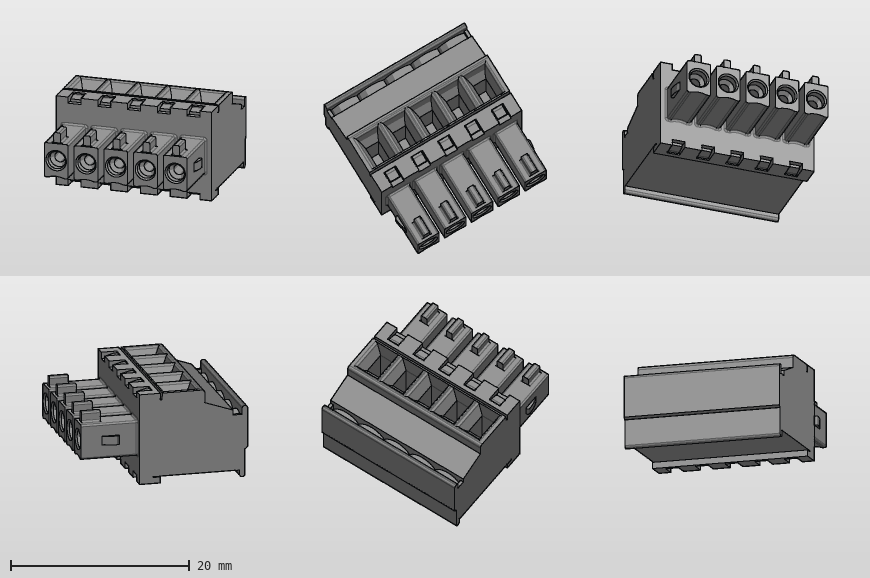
import cadquery as cq
import math

WIDTH = 18.3
LENGTH = 19.1
HEIGHT = 10.5
POLES = 5
PITCH = 3.5
POLE_XS = [(i - (POLES - 1) / 2) * PITCH for i in range(POLES)]

FRONT_Y = 6.6
LIP_THICKNESS = 0.64
LIP_TOP_Z = 8.3
LIP_ROUND = 0.27
LIP_INNER_Y = LENGTH - LIP_THICKNESS
BACK_STEP = 0.32
BACK_STEP_Z = 3.27
BACK_STEP_CHAMFER = 0.25
REAR_FOOT_OUTER_Y = LENGTH - BACK_STEP
REAR_FOOT_INNER_Y = REAR_FOOT_OUTER_Y - LIP_THICKNESS
UNDERSIDE_Z = 0.8
GROOVE_FLOOR_Z = 7.3
GROOVE_FRONT_Y = 17.42
SLOPE_LOW_Z = 7.87
SLOPE_HIGH_Z = 9.0
TOWER_BACK_Y = 14.15
TOWER_ROUND = 0.35
SLIT_FRONT_Y = 8.98
SLIT_WIDTH_TOP = 0.27
SLIT_WIDTH_BOTTOM = 0.16
SLIT_DEPTH = 0.8
FOOT_BACK_Y = SLIT_FRONT_Y
UNDERCUT_DEPTH = 0.8
UNDERCUT_HEIGHT = 0.09

BARREL_RADIUS = 2.15
BARREL_AXIS_Z = GROOVE_FLOOR_Z - BARREL_RADIUS

FUNNEL_HALF_WIDTH = 1.68
FUNNEL_FRONT_Y = 9.45
FUNNEL_BACK_Y = 13.62
THROAT_HALF_WIDTH = 0.835
THROAT_FRONT_Y = 9.64
THROAT_BACK_Y = 12.2
THROAT_Z = 8.65
WELL_FLOOR_Z = 3.0
RIM_ROUND = 0.3
BACK_WALL_HOLLOW = 0.12

POCKET_WIDTH = 1.5
POCKET_LENGTH = 1.8
POCKET_DEPTH = 0.73
RAMP_WIDTH = 1.26
RAMP_FRONT_Y = 7.2
RAMP_BACK_Y = 8.07
RAMP_LOW_DEPTH = 0.4
RAMP_HIGH_DEPTH = 0.16

PLUG_WIDTH = 2.8
PLUG_BOTTOM_Z = 3.18
PLUG_TOP_Z = 7.24
PLUG_ROUND = 0.2
ROOT_ROUND = 0.22
ROOT_BLOCK_LENGTH = 0.5
ARCH_WIDTH = 1.9
ARCH_RISE = 0.18
SOCKET_Z = 5.23
SOCKET_MOUTH_RADIUS = 1.2
SOCKET_RADIUS = 1.02
PIN_HOLE_RADIUS = 0.6
MOUTH_DEPTH = 0.2
SOCKET_DEPTH = 0.95
PIN_HOLE_DEPTH = 5.0

KEY_WIDTH = 0.8
KEY_FRONT_Y = 0.33
KEY_BACK_Y = 2.5
KEY_TOP_Z = 8.42
KEY_ROUND = 0.18
KEY_FOOT_ROUND = 0.22

BUMP_FRONT_Y = 2.42
BUMP_BACK_Y = 4.4
BUMP_BOTTOM_Z = 4.75
BUMP_TOP_Z = 5.76
BUMP_REACH = 0.37
BUMP_ROUND = 0.25


def box(x_min, x_max, y_min, y_max, z_min, z_max):
    size = (x_max - x_min, y_max - y_min, z_max - z_min)
    return cq.Workplane("XY").box(*size, centered=False).translate((x_min, y_min, z_min))


def extrude_across(outline, width):
    """Extrude a (Y, Z) outline evenly about X = 0."""
    return outline.close().extrude(width / 2, both=True)


def at_each_pole(shape):
    """Copy a shape built at X = 0 to every pole."""
    copies = [shape.val().translate(cq.Vector(x, 0, 0)) for x in POLE_XS]
    return cq.Workplane(obj=cq.Compound.makeCompound(copies))


def make_housing():
    slit_floor_z = HEIGHT - SLIT_DEPTH
    slit_back_y = SLIT_FRONT_Y + SLIT_WIDTH_TOP
    foot_radius = LIP_THICKNESS / 2
    outline = (
        cq.Workplane("YZ")
        .moveTo(FRONT_Y, 0)
        .lineTo(FOOT_BACK_Y, 0)
        .lineTo(FOOT_BACK_Y, UNDERSIDE_Z - UNDERCUT_HEIGHT)
        .lineTo(FOOT_BACK_Y - UNDERCUT_DEPTH, UNDERSIDE_Z - UNDERCUT_HEIGHT)
        .lineTo(FOOT_BACK_Y - UNDERCUT_DEPTH, UNDERSIDE_Z)
        .lineTo(REAR_FOOT_INNER_Y, UNDERSIDE_Z)
        .lineTo(REAR_FOOT_INNER_Y, foot_radius)
        .threePointArc((REAR_FOOT_INNER_Y + foot_radius, 0), (REAR_FOOT_OUTER_Y, foot_radius))
        .lineTo(REAR_FOOT_OUTER_Y, BACK_STEP_Z)
        .lineTo(LENGTH - BACK_STEP_CHAMFER, BACK_STEP_Z)
        .lineTo(LENGTH, BACK_STEP_Z + BACK_STEP_CHAMFER)
        .lineTo(LENGTH, LIP_TOP_Z - LIP_ROUND)
        .radiusArc((LENGTH - LIP_ROUND, LIP_TOP_Z), -LIP_ROUND)
        .lineTo(LIP_INNER_Y + LIP_ROUND, LIP_TOP_Z)
        .radiusArc((LIP_INNER_Y, LIP_TOP_Z - LIP_ROUND), -LIP_ROUND)
        .lineTo(LIP_INNER_Y, GROOVE_FLOOR_Z)
        .lineTo(GROOVE_FRONT_Y, GROOVE_FLOOR_Z)
        .lineTo(GROOVE_FRONT_Y, SLOPE_LOW_Z)
        .lineTo(TOWER_BACK_Y, SLOPE_HIGH_Z)
        .lineTo(TOWER_BACK_Y, HEIGHT - TOWER_ROUND)
        .radiusArc((TOWER_BACK_Y - TOWER_ROUND, HEIGHT), -TOWER_ROUND)
        .lineTo(slit_back_y, HEIGHT)
        .lineTo(SLIT_FRONT_Y + SLIT_WIDTH_BOTTOM, slit_floor_z)
        .lineTo(SLIT_FRONT_Y, slit_floor_z)
        .lineTo(SLIT_FRONT_Y, HEIGHT)
        .lineTo(FRONT_Y, HEIGHT)
    )
    return extrude_across(outline, WIDTH)


def make_barrel_gaps():
    """Space in the back groove between the rounded tops of the screw barrels."""
    half_length = POLES * PITCH / 2
    space = box(-half_length, half_length, GROOVE_FRONT_Y, LIP_INNER_Y, BARREL_AXIS_Z, GROOVE_FLOOR_Z)
    barrel = (
        cq.Workplane("XZ", origin=(0, GROOVE_FRONT_Y, BARREL_AXIS_Z))
        .circle(BARREL_RADIUS)
        .extrude(GROOVE_FRONT_Y - LIP_INNER_Y)
    )
    for x in POLE_XS:
        space = space.cut(barrel.translate((x, 0, 0)))
    return space


def rim_tangent_point(rim, throat):
    """Point where the funnel wall from the throat meets the rounded rim, at the given positions."""
    across = rim - throat
    rise = HEIGHT - RIM_ROUND - THROAT_Z
    distance = math.hypot(across, rise)
    tangent_length = math.sqrt(distance**2 - RIM_ROUND**2)
    angle = math.atan2(rise, across) + math.asin(RIM_ROUND / distance)
    return throat + tangent_length * math.cos(angle), THROAT_Z + tangent_length * math.sin(angle)


def make_funnel():
    """Wire entry: flared sides and hollowed back wall with rounded rims, above a straight well."""
    side = rim_tangent_point(FUNNEL_HALF_WIDTH, THROAT_HALF_WIDTH)
    back = rim_tangent_point(FUNNEL_BACK_Y, THROAT_BACK_Y)
    across = (
        cq.Workplane("XZ")
        .moveTo(-THROAT_HALF_WIDTH, THROAT_Z)
        .lineTo(THROAT_HALF_WIDTH, THROAT_Z)
        .lineTo(*side)
        .radiusArc((FUNNEL_HALF_WIDTH, HEIGHT), RIM_ROUND)
        .lineTo(-FUNNEL_HALF_WIDTH, HEIGHT)
        .radiusArc((-side[0], side[1]), RIM_ROUND)
        .close()
        .extrude(-LENGTH)
    )
    along = (
        cq.Workplane("YZ")
        .moveTo(THROAT_FRONT_Y, THROAT_Z)
        .lineTo(THROAT_BACK_Y, THROAT_Z)
        .sagittaArc(back, -BACK_WALL_HOLLOW)
        .radiusArc((FUNNEL_BACK_Y, HEIGHT), RIM_ROUND)
        .lineTo(FUNNEL_FRONT_Y, HEIGHT)
    )
    flare = across.intersect(extrude_across(along, PITCH))
    well = box(
        -THROAT_HALF_WIDTH, THROAT_HALF_WIDTH, THROAT_FRONT_Y, THROAT_BACK_Y, WELL_FLOOR_Z, THROAT_Z
    )
    return flare.union(well)


def make_latch_pocket():
    """Pocket in the top front edge, with a narrower ramp standing in its back part."""
    half_width = POCKET_WIDTH / 2
    back_y = FRONT_Y + POCKET_LENGTH
    floor_z = HEIGHT - POCKET_DEPTH
    pocket = box(-half_width, half_width, FRONT_Y, back_y, floor_z, HEIGHT)
    ramp = (
        cq.Workplane("YZ")
        .moveTo(RAMP_FRONT_Y, floor_z)
        .lineTo(back_y, floor_z)
        .lineTo(back_y, HEIGHT - RAMP_HIGH_DEPTH)
        .lineTo(RAMP_BACK_Y, HEIGHT - RAMP_HIGH_DEPTH)
        .lineTo(RAMP_FRONT_Y, HEIGHT - RAMP_LOW_DEPTH)
    )
    return pocket.cut(extrude_across(ramp, RAMP_WIDTH))


def make_plug():
    """Plug body with an arched underside, flaring where it leaves the housing."""
    half_width = PLUG_WIDTH / 2
    plug = box(-half_width, half_width, 0, FRONT_Y, PLUG_BOTTOM_Z, PLUG_TOP_Z)
    plug = plug.edges("|Y").fillet(PLUG_ROUND)
    arch_radius = ((ARCH_WIDTH / 2) ** 2 + ARCH_RISE**2) / (2 * ARCH_RISE)
    arch_axis_z = PLUG_BOTTOM_Z + ARCH_RISE - arch_radius
    arch = cq.Workplane("XZ", origin=(0, 0, arch_axis_z)).circle(arch_radius).extrude(-FRONT_Y)
    plug = plug.cut(arch)

    half_pitch = PITCH / 2
    root = box(-half_pitch, half_pitch, FRONT_Y, FRONT_Y + ROOT_BLOCK_LENGTH, UNDERSIDE_Z, SLOPE_HIGH_Z)
    margin = ROOT_ROUND / 2
    root_edges = cq.selectors.BoxSelector(
        (-half_width - margin, FRONT_Y - margin, PLUG_BOTTOM_Z - margin),
        (half_width + margin, FRONT_Y + margin, PLUG_TOP_Z + margin),
    )
    return plug.union(root).edges(root_edges).fillet(ROOT_ROUND)


def make_key():
    """Key on top of the plug: rounded upper edges and a fillet at its foot."""
    half_width = KEY_WIDTH / 2
    outline = (
        cq.Workplane("XZ", origin=(0, KEY_FRONT_Y, 0))
        .moveTo(-half_width - KEY_FOOT_ROUND, PLUG_TOP_Z)
        .radiusArc((-half_width, PLUG_TOP_Z + KEY_FOOT_ROUND), -KEY_FOOT_ROUND)
        .lineTo(-half_width, KEY_TOP_Z - KEY_ROUND)
        .radiusArc((-half_width + KEY_ROUND, KEY_TOP_Z), KEY_ROUND)
        .lineTo(half_width - KEY_ROUND, KEY_TOP_Z)
        .radiusArc((half_width, KEY_TOP_Z - KEY_ROUND), KEY_ROUND)
        .lineTo(half_width, PLUG_TOP_Z + KEY_FOOT_ROUND)
        .radiusArc((half_width + KEY_FOOT_ROUND, PLUG_TOP_Z), -KEY_FOOT_ROUND)
        .close()
    )
    return outline.extrude(KEY_FRONT_Y - KEY_BACK_Y)


def make_socket():
    """Contact opening along Y: chamfered mouth, round bore, then a 45 degree cone to a pin hole."""
    cone_end = SOCKET_DEPTH + SOCKET_RADIUS - PIN_HOLE_RADIUS
    return (
        cq.Workplane("XY")
        .lineTo(SOCKET_MOUTH_RADIUS, 0)
        .lineTo(SOCKET_RADIUS, MOUTH_DEPTH)
        .lineTo(SOCKET_RADIUS, SOCKET_DEPTH)
        .lineTo(PIN_HOLE_RADIUS, cone_end)
        .lineTo(PIN_HOLE_RADIUS, PIN_HOLE_DEPTH)
        .lineTo(0, PIN_HOLE_DEPTH)
        .close()
        .revolve(360, (0, 0, 0), (0, 1, 0))
        .translate((0, 0, SOCKET_Z))
    )


def make_bump():
    """Snap bump on the outer side of the last plug in +X."""
    side_x = POLE_XS[-1] + PLUG_WIDTH / 2
    outer_x = side_x + BUMP_REACH
    crest_y = BUMP_BACK_Y - BUMP_ROUND
    run = crest_y - BUMP_FRONT_Y
    ramp_radius = (run**2 + BUMP_REACH**2) / (2 * BUMP_REACH)
    return (
        cq.Workplane("XY", origin=(0, 0, BUMP_BOTTOM_Z))
        .moveTo(side_x, BUMP_FRONT_Y)
        .radiusArc((outer_x, crest_y), -ramp_radius)
        .radiusArc((outer_x - BUMP_ROUND, BUMP_BACK_Y), -BUMP_ROUND)
        .lineTo(side_x, BUMP_BACK_Y)
        .close()
        .extrude(BUMP_TOP_Z - BUMP_BOTTOM_Z)
    )


result = make_housing().cut(make_barrel_gaps())
pocket = make_latch_pocket()
bottom_pocket = pocket.mirror("XY", (0, 0, HEIGHT / 2))
result = result.cut(at_each_pole(make_funnel()))
result = result.cut(at_each_pole(pocket)).cut(at_each_pole(bottom_pocket))
plug = make_plug().union(make_key())
for x in POLE_XS:
    result = result.union(plug.translate((x, 0, 0)))
result = result.cut(at_each_pole(make_socket()))
bump = make_bump()
result = result.union(bump).union(bump.mirror("YZ"))